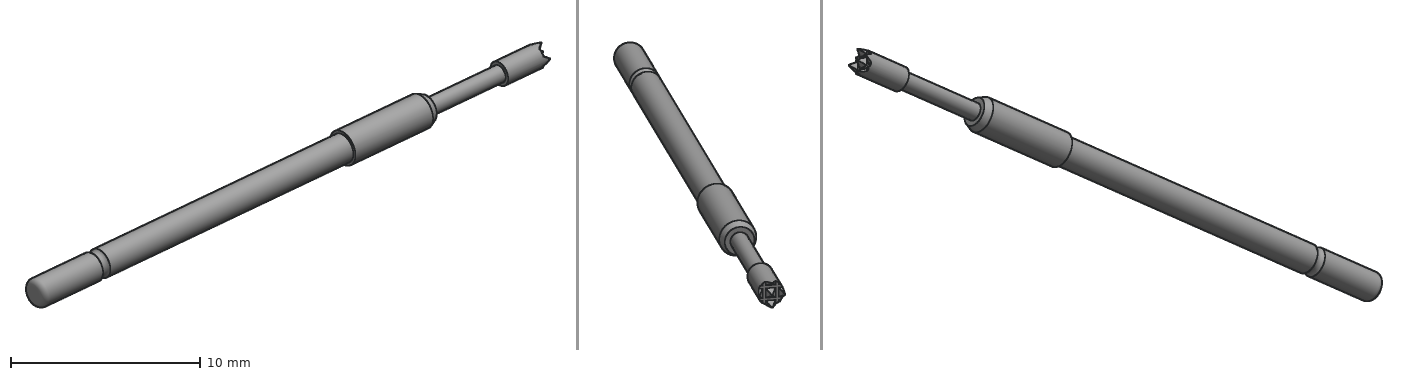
import cadquery as cq

total_length = 36.3

collar_diameter = 2.0
barrel_diameter = 1.67
groove_diameter = 1.4
stem_diameter = 1.0
head_diameter = 1.4

tail_length = 4.2
groove_width = 0.52
collar_length = 6.0
plunger_travel_length = 8.2
head_length = 3.0

tail_round = 0.35
collar_taper_length = 0.45
collar_taper_depth = 0.2

tooth_pitch = head_diameter / 2
tooth_height = 0.4
tooth_tip_width = 0.06
gap_floor_width = 0.16

collar_front = total_length - plunger_travel_length
collar_rear = collar_front - collar_length
head_rear = total_length - head_length


def cylinder(diameter, y_start, y_end):
    """Solid cylinder on the Y axis between two stations."""
    return (
        cq.Workplane("XZ", origin=(0, y_start, 0))
        .circle(diameter / 2)
        .extrude(y_start - y_end)
    )


def crimp_groove():
    """Ring with an arc-shaped inner face, cut from the barrel to leave a crimp groove."""
    front = tail_length + groove_width
    middle = tail_length + groove_width / 2
    barrel_radius = barrel_diameter / 2
    return (
        cq.Workplane("XY")
        .moveTo(barrel_radius, tail_length)
        .threePointArc((groove_diameter / 2, middle), (barrel_radius, front))
        .lineTo(collar_diameter / 2, front)
        .lineTo(collar_diameter / 2, tail_length)
        .close()
        .revolve(360, (0, 0, 0), (0, 1, 0))
    )


def make_barrel():
    """Barrel with a rounded rear end and a crimp groove."""
    barrel = cylinder(barrel_diameter, 0, collar_rear)
    barrel = barrel.faces("<Y").edges().fillet(tail_round)
    return barrel.cut(crimp_groove())


def make_collar():
    """Press-fit collar with a tapered front edge."""
    body_front = collar_front - collar_taper_length
    front_diameter = collar_diameter - 2 * collar_taper_depth
    body = cylinder(collar_diameter, collar_rear, body_front)
    taper = (
        cq.Workplane("XZ", origin=(0, body_front, 0))
        .circle(collar_diameter / 2)
        .workplane(offset=-collar_taper_length)
        .circle(front_diameter / 2)
        .loft(ruled=True)
    )
    return body.union(taper)


def tooth_gap(offset):
    """Tapered groove running along Z across the contact face, centred at X = offset."""
    top_half_width = (tooth_pitch - tooth_tip_width) / 2
    floor_half_width = gap_floor_width / 2
    floor = total_length - tooth_height
    return (
        cq.Workplane("XY")
        .moveTo(offset - top_half_width, total_length)
        .lineTo(offset - floor_half_width, floor)
        .lineTo(offset + floor_half_width, floor)
        .lineTo(offset + top_half_width, total_length)
        .close()
        .extrude(head_diameter, both=True)
    )


def make_plunger():
    """Stem and larger head with a serrated contact face."""
    stem = cylinder(stem_diameter, collar_front, head_rear)
    head = cylinder(head_diameter, head_rear, total_length)
    for side in (-1, 1):
        gap = tooth_gap(side * tooth_pitch / 2)
        head = head.cut(gap)
        head = head.cut(gap.rotate((0, 0, 0), (0, 1, 0), 90))
    return stem.union(head)


result = make_barrel().union(make_collar()).union(make_plunger())